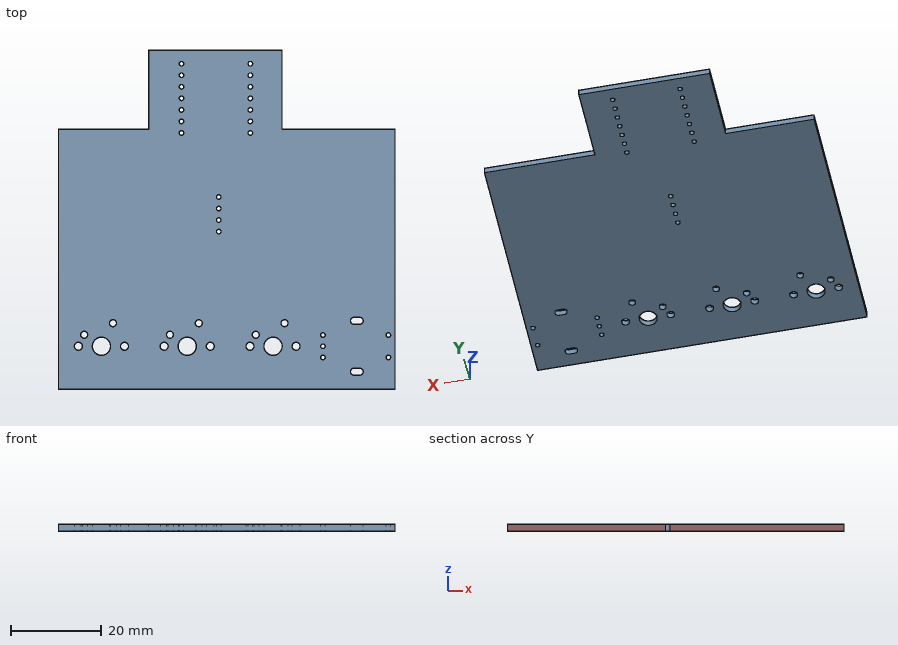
import cadquery as cq

board_width = 74.5
board_length = 75.0
thickness = 1.6
shoulder_y = 57.5
tab_left = 19.95
tab_width = 29.55

pin_diameter = 1.0
pin_pitch = 2.55
module_pins = 7
module_left_x = 27.2
module_row_gap = 15.2
module_center_y = 64.35
connector_pins = 4
connector_x = 35.5
connector_center_y = 38.7

controls_y = 9.5
switch_count = 3
first_switch_x = 9.5
switch_pitch = 19.0
stem_diameter = 4.0
peg_diameter = 1.7
peg_offset = 5.1
contact_diameter = 1.5
contact_offsets = [(-3.8, 2.55), (2.55, 5.1)]

encoder_x = 66.0
encoder_pins = 3
encoder_pin_pitch = 2.5
encoder_pin_offset = 7.5
button_pin_offset = 7.0
slot_offset = 5.6
slot_length = 2.8
slot_width = 1.5


def column(x, center_y, count, pitch):
    """Points evenly spaced along Y about center_y."""
    return [(x, center_y + (i - (count - 1) / 2) * pitch) for i in range(count)]


def drill(body, points, diameter):
    """Cut round holes through the board at the given points."""
    cutters = cq.Workplane("XY").pushPoints(points).circle(diameter / 2).extrude(thickness)
    return body.cut(cutters)


def cut_switch(body, x):
    """Cut the stem, peg and contact holes of one key switch."""
    pegs = [(x - peg_offset, controls_y), (x + peg_offset, controls_y)]
    contacts = [(x + dx, controls_y + dy) for dx, dy in contact_offsets]
    body = drill(body, [(x, controls_y)], stem_diameter)
    body = drill(body, pegs, peg_diameter)
    return drill(body, contacts, contact_diameter)


def cut_encoder(body):
    """Cut the pin holes and the two mounting slots of the rotary encoder."""
    pins = column(encoder_x - encoder_pin_offset, controls_y, encoder_pins, encoder_pin_pitch)
    button_pins = column(encoder_x + button_pin_offset, controls_y, 2, 2 * encoder_pin_pitch)
    body = drill(body, pins + button_pins, pin_diameter)
    slots = (
        cq.Workplane("XY")
        .pushPoints(column(encoder_x, controls_y, 2, 2 * slot_offset))
        .slot2D(slot_length, slot_width)
        .extrude(thickness)
    )
    return body.cut(slots)


main_board = cq.Workplane("XY").box(board_width, shoulder_y, thickness, centered=False)
tab = (
    cq.Workplane("XY")
    .box(tab_width, board_length - shoulder_y, thickness, centered=False)
    .translate((tab_left, shoulder_y, 0))
)
result = main_board.union(tab)

for row_x in (module_left_x, module_left_x + module_row_gap):
    result = drill(result, column(row_x, module_center_y, module_pins, pin_pitch), pin_diameter)
result = drill(result, column(connector_x, connector_center_y, connector_pins, pin_pitch), pin_diameter)

for index in range(switch_count):
    result = cut_switch(result, first_switch_x + index * switch_pitch)

result = cut_encoder(result)